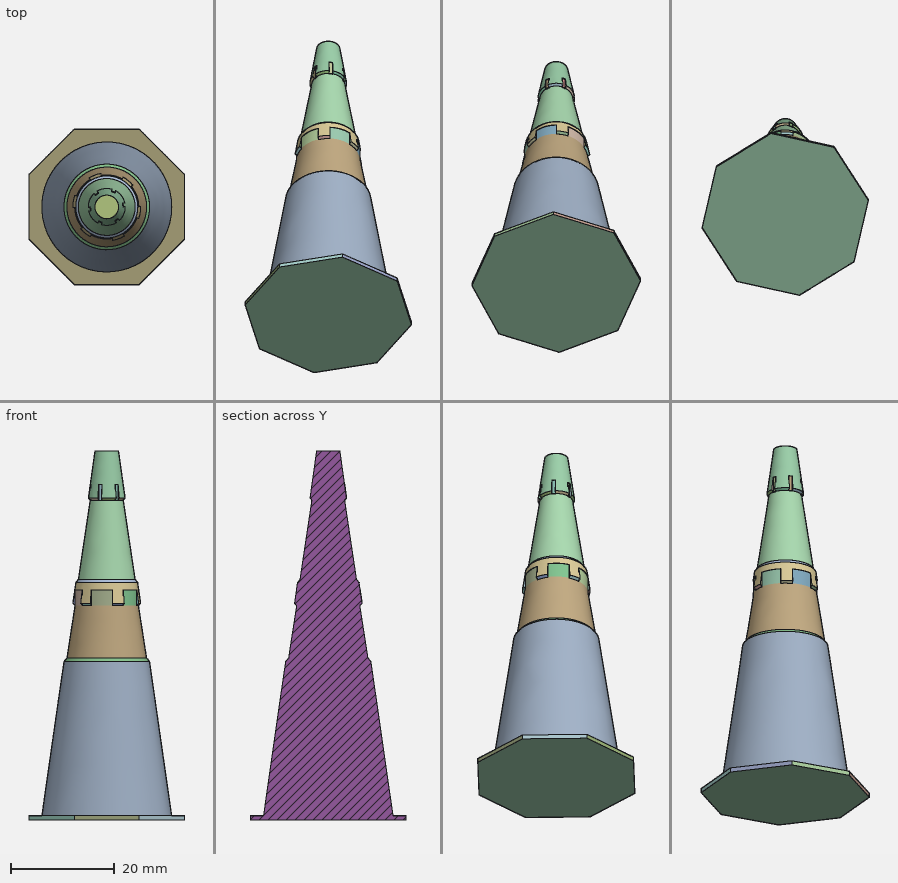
import cadquery as cq
import math

height = 71.1

base_width = 30.0
base_thickness = 0.85
octagon_sides = 8

bottom_cone_radius = 12.5
lower_shoulder_z = 30.6
lower_shoulder_radius = 8.25
shoulder_height = 0.65
middle_cone_radius = 7.7

collar_neck_z = 41.3
collar_neck_radius = 6.1
collar_rim_radius = 6.55
collar_top_z = 45.7
collar_top_radius = 6.0
upper_cone_radius = 5.5

cap_neck_z = 61.6
cap_neck_radius = 3.2
cap_rim_radius = 3.55
tip_radius = 2.3

rim_height = 0.4

recess_count = 6
recess_height = 3.0
recess_outer_radius = 8.5
collar_recess_angle = 39.0
collar_recess_start = 181.0
cap_slot_width = 0.7
cap_slot_height = 3.05
cap_slot_direction = 187.0
cap_slot_floor = 3.05


def make_base():
    """Regular octagon with flat sides facing along X and Y."""
    corner_diameter = base_width / math.cos(math.pi / octagon_sides)
    return (
        cq.Workplane("XY")
        .transformed(rotate=(0, 0, 180 / octagon_sides))
        .polygon(octagon_sides, corner_diameter)
        .extrude(base_thickness)
    )


def make_cone():
    """Stepped cone revolved around Z from (radius, height) points."""
    profile = [
        (0, 0),
        (bottom_cone_radius, 0),
        (bottom_cone_radius, base_thickness),
        (lower_shoulder_radius, lower_shoulder_z),
        (middle_cone_radius, lower_shoulder_z + shoulder_height),
        (collar_neck_radius, collar_neck_z),
        (collar_rim_radius, collar_neck_z + rim_height),
        (collar_top_radius, collar_top_z),
        (upper_cone_radius, collar_top_z + shoulder_height),
        (cap_neck_radius, cap_neck_z),
        (cap_rim_radius, cap_neck_z + rim_height),
        (tip_radius, height),
        (0, height),
    ]
    return cq.Workplane("XZ").polyline(profile).close().revolve(360, (0, 0), (0, 1))


def repeat_around(cutter):
    """Copies of a cutter spaced evenly around Z."""
    step = 360 / recess_count
    copies = [cutter.val()]
    for index in range(1, recess_count):
        copies.append(cutter.val().rotate((0, 0, 0), (0, 0, 1), index * step))
    return cq.Workplane("XY").newObject([cq.Compound.makeCompound(copies)])


def make_collar_recesses():
    """Ring sectors with radial walls and a cylindrical floor."""
    radial_width = recess_outer_radius - collar_neck_radius
    sector = (
        cq.Workplane("XZ")
        .moveTo(collar_neck_radius, collar_neck_z)
        .rect(radial_width, recess_height, centered=False)
        .revolve(collar_recess_angle, (0, 0), (0, 1))
    )
    return repeat_around(sector.rotate((0, 0, 0), (0, 0, 1), collar_recess_start))


def make_cap_slots():
    """Narrow parallel-sided slots with flat floors."""
    slot = (
        cq.Workplane("XY")
        .box(recess_outer_radius, cap_slot_width, cap_slot_height, centered=(False, True, False))
        .translate((cap_slot_floor, 0, cap_neck_z))
        .rotate((0, 0, 0), (0, 0, 1), cap_slot_direction)
    )
    return repeat_around(slot)


result = make_base().union(make_cone()).cut(make_collar_recesses()).cut(make_cap_slots())